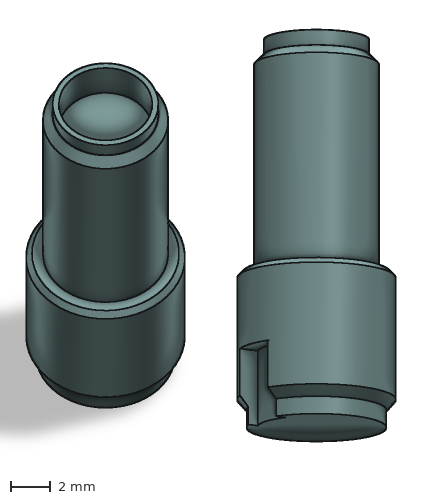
import cadquery as cq

total_length = 19.79

ring_diameter = 7.0
ring_height = 0.9
sleeve_diameter = 7.95
sleeve_top = 7.94
sleeve_lower_bevel_height = 0.53
sleeve_upper_chamfer = 0.3

barrel_diameter = 6.27
tip_diameter = 5.28
tip_height = 0.8
barrel_chamfer = 0.47
bore_diameter = 4.67
bore_depth = 1.98

keyway_width = 2.5
keyway_height = 3.82
keyway_floor_diameter = 5.98


def turned_body():
    """Revolve the stepped half-profile about Z."""
    ring_radius = ring_diameter / 2
    sleeve_radius = sleeve_diameter / 2
    barrel_radius = barrel_diameter / 2
    tip_radius = tip_diameter / 2
    barrel_top = total_length - tip_height
    profile = (
        cq.Workplane("XZ")
        .lineTo(ring_radius, 0)
        .lineTo(ring_radius, ring_height)
        .lineTo(sleeve_radius, ring_height + sleeve_lower_bevel_height)
        .lineTo(sleeve_radius, sleeve_top - sleeve_upper_chamfer)
        .lineTo(sleeve_radius - sleeve_upper_chamfer, sleeve_top)
        .lineTo(barrel_radius, sleeve_top)
        .lineTo(barrel_radius, barrel_top - barrel_chamfer)
        .lineTo(barrel_radius - barrel_chamfer, barrel_top)
        .lineTo(tip_radius, barrel_top)
        .lineTo(tip_radius, total_length)
        .lineTo(0, total_length)
        .close()
    )
    return profile.revolve(360, (0, 0, 0), (0, 1, 0))


def tip_bore():
    """Blind bore entering from the top face."""
    return (
        cq.Workplane("XY")
        .workplane(offset=total_length - bore_depth)
        .circle(bore_diameter / 2)
        .extrude(bore_depth)
    )


def keyway():
    """Parallel-sided slot whose floor is concentric with the sleeve."""
    slot = cq.Workplane("XY").box(
        keyway_width, sleeve_diameter, keyway_height, centered=(True, False, False)
    )
    core = cq.Workplane("XY").circle(keyway_floor_diameter / 2).extrude(keyway_height)
    return slot.cut(core)


result = turned_body().cut(tip_bore()).cut(keyway())